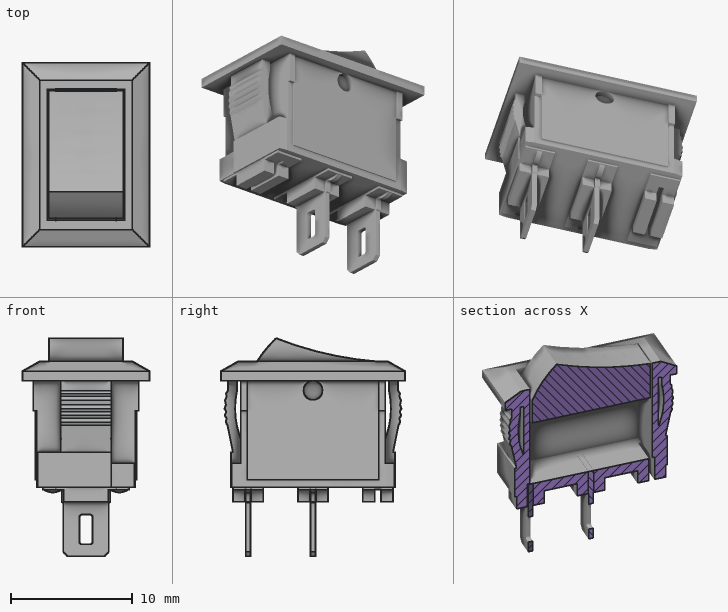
import cadquery as cq


BEZEL_X = 10.42
BEZEL_Y = 15.1
BEZEL_EDGE_Z = 0.8
BEZEL_TOP_Z = 1.6
BEZEL_SLOPE_RUN = 1.42

BODY_X = 8.1
BODY_Y = 11.86
BODY_BOTTOM_Z = -8.73
CAVITY_X = 6.34
CAVITY_Y = 10.77
FLOOR_THICKNESS = 1.0
FLOOR_Z = BODY_BOTTOM_Z + FLOOR_THICKNESS
SIDE_PANEL_X = 8.34
SIDE_PANEL_BOTTOM_Z = -8.12
CORNER_RIB_X = 8.68
CORNER_RIB_BOTTOM_Z = -2.46

BLOCK_ROOT_Y = 6.0
BLOCK_FACE_Y = 6.74
BLOCK_FACE_X = 7.9
BLOCK_TOP_Z = -5.84
BLOCK_STEP_TOP_Z = -6.75
BLOCK_STEP_SETBACK = 0.07

ARM_X = 4.12
ARM_ROOT_Y = 6.58
ARM_INNER_Y = 6.22
ARM_INNER_BULGE = 0.16
ARM_BULGE_TOP_Z = -0.8
ARM_BULGE_BOTTOM_Z = -3.75
ARM_MERGE_Z = -4.75
ARM_TEETH = [
    (6.99, -0.80),
    (7.14, -1.05),
    (7.09, -1.28),
    (7.23, -1.60),
    (7.15, -1.96),
    (7.26, -2.28),
    (7.13, -2.52),
    (7.24, -2.84),
    (7.09, -3.08),
    (7.17, -3.38),
    (7.02, -3.63),
]

STATION_PITCH = 5.325
STATION_YS = [-STATION_PITCH, 0, STATION_PITCH]
PAD_X = 7.1
PAD_Y = 2.5
PAD_BOTTOM_Z = BODY_BOTTOM_Z - 0.19
FOOT_X = 3.63
FOOT_BOTTOM_Z = -9.93
SLOT_X = 5.0
SLOT_Y = 0.48

TERMINAL_YS = STATION_YS[:2]
TERMINAL_THICKNESS = 0.42
NECK_X = 4.0
NECK_TAPER = 0.07
BLADE_X = 3.75
BLADE_TIP_Z = -14.4
BLADE_TIP_CHAMFER = 0.37
EYE_X = 1.06
EYE_TOP_Z = -10.98
EYE_BOTTOM_Z = -13.4
EYE_CORNER_RADIUS = 0.2
LUG_INNER_X = NECK_X / 2
LUG_OUTER_X = 3.46
LUG_DROP = 0.24

ROCKER_X = 6.1
ROCKER_BOTTOM_Z = -1.8
ROCKER_BACK_Y = 5.25
ROCKER_BACK_Z = 1.6
ROCKER_MID_Y = 0
ROCKER_MID_Z = 2.5
ROCKER_PEAK_Y = -3.02
ROCKER_PEAK_Z = 3.5
ROCKER_NOSE_MID_Y = -4.36
ROCKER_NOSE_MID_Z = 1.95
ROCKER_NOSE_Y = -5.19
ROCKER_NOSE_Z = 0.46
PIVOT_RADIUS = 0.78
PIVOT_Z = -0.78
PIVOT_RECESS = 0.5


def block(size_x, y_range, z_range, center_x=0):
    """Box centred on center_x that spans the given Y and Z ranges."""
    y_low, y_high = sorted(y_range)
    z_low, z_high = sorted(z_range)
    return (
        cq.Workplane("XY", origin=(center_x, (y_low + y_high) / 2, z_low))
        .rect(size_x, y_high - y_low)
        .extrude(z_high - z_low)
    )


def centered_block(size_x, size_y, z_range, center_y=0):
    """Box centred on X = 0 and on center_y."""
    return block(size_x, (center_y - size_y / 2, center_y + size_y / 2), z_range)


def make_bezel():
    rim = centered_block(BEZEL_X, BEZEL_Y, (0, BEZEL_EDGE_Z))
    slope = (
        cq.Workplane("XY", origin=(0, 0, BEZEL_EDGE_Z))
        .rect(BEZEL_X, BEZEL_Y)
        .workplane(offset=BEZEL_TOP_Z - BEZEL_EDGE_Z)
        .rect(BEZEL_X - 2 * BEZEL_SLOPE_RUN, BEZEL_Y - 2 * BEZEL_SLOPE_RUN)
        .loft(ruled=True)
    )
    return rim.union(slope)


def make_end_block():
    """Drafted block on the -Y end, lower and set back beyond the +X edge of the snap arm."""
    root_half_x = BODY_X / 2
    face_half_x = BLOCK_FACE_X / 2
    end_block = (
        cq.Workplane("XY", origin=(0, 0, BODY_BOTTOM_Z))
        .moveTo(-root_half_x, 0)
        .lineTo(-root_half_x, -BLOCK_ROOT_Y)
        .lineTo(-face_half_x, -BLOCK_FACE_Y)
        .lineTo(face_half_x, -BLOCK_FACE_Y)
        .lineTo(root_half_x, -BLOCK_ROOT_Y)
        .lineTo(root_half_x, 0)
        .close()
        .extrude(BLOCK_TOP_Z - BODY_BOTTOM_Z)
    )
    step_x = root_half_x - ARM_X / 2
    step_center_x = (root_half_x + ARM_X / 2) / 2
    step_face_y = BLOCK_FACE_Y - BLOCK_STEP_SETBACK
    above_step = block(step_x, (-BLOCK_FACE_Y, 0), (BLOCK_STEP_TOP_Z, BLOCK_TOP_Z), step_center_x)
    before_step = block(step_x, (-BLOCK_FACE_Y, -step_face_y), (BODY_BOTTOM_Z, BLOCK_TOP_Z), step_center_x)
    return end_block.cut(above_step).cut(before_step)


def make_snap_arm():
    """Toothed arm on the -Y end, joined to the bezel above and to the end block below."""
    bulge_mid_z = (ARM_BULGE_TOP_Z + ARM_BULGE_BOTTOM_Z) / 2
    top_outer_y = ARM_TEETH[0][0]
    return (
        cq.Workplane("YZ", origin=(-ARM_X / 2, 0, 0))
        .moveTo(-top_outer_y, 0)
        .polyline([(-y, z) for y, z in ARM_TEETH], includeCurrent=True)
        .lineTo(-ARM_ROOT_Y, BLOCK_TOP_Z)
        .lineTo(-BODY_Y / 2, BLOCK_TOP_Z)
        .lineTo(-BODY_Y / 2, ARM_MERGE_Z)
        .lineTo(-ARM_INNER_Y, ARM_BULGE_BOTTOM_Z)
        .threePointArc((-ARM_INNER_Y - ARM_INNER_BULGE, bulge_mid_z), (-ARM_INNER_Y, ARM_BULGE_TOP_Z))
        .lineTo(-ARM_INNER_Y, 0)
        .close()
        .extrude(ARM_X)
    )


def make_corner_ribs():
    """Ribs that widen the body at its four upper corners."""
    ribs = centered_block(CORNER_RIB_X, BODY_Y, (CORNER_RIB_BOTTOM_Z, 0))
    return ribs.cut(centered_block(CORNER_RIB_X, CAVITY_Y, (CORNER_RIB_BOTTOM_Z, 0)))


def make_station(center_y):
    """Pad with a foot below it, where a terminal leaves the housing."""
    pad = centered_block(PAD_X, PAD_Y, (PAD_BOTTOM_Z, BODY_BOTTOM_Z), center_y)
    foot = centered_block(FOOT_X, PAD_Y, (FOOT_BOTTOM_Z, PAD_BOTTOM_Z), center_y)
    return pad.union(foot)


def make_station_slot(center_y):
    """Slot through the floor and pad that also splits the foot in two."""
    return centered_block(SLOT_X, SLOT_Y, (FOOT_BOTTOM_Z, FLOOR_Z), center_y)


def pivot_cylinder(length_x):
    return cq.Workplane("YZ", origin=(-length_x / 2, 0, PIVOT_Z)).circle(PIVOT_RADIUS).extrude(length_x)


def make_housing():
    housing = make_bezel()
    housing = housing.union(centered_block(BODY_X, BODY_Y, (BODY_BOTTOM_Z, 0)))
    housing = housing.union(centered_block(SIDE_PANEL_X, CAVITY_Y, (SIDE_PANEL_BOTTOM_Z, 0)))
    housing = housing.union(make_corner_ribs())
    for end_feature in (make_end_block(), make_snap_arm()):
        housing = housing.union(end_feature).union(end_feature.mirror("XZ"))
    housing = housing.cut(centered_block(CAVITY_X, CAVITY_Y, (FLOOR_Z, BEZEL_TOP_Z)))
    for center_y in STATION_YS:
        housing = housing.union(make_station(center_y)).cut(make_station_slot(center_y))
    return housing.cut(pivot_cylinder(SIDE_PANEL_X))


def make_rocker():
    """Curved rocker key with a pivot stub on each side."""
    key = (
        cq.Workplane("YZ", origin=(-ROCKER_X / 2, 0, 0))
        .moveTo(ROCKER_BACK_Y, ROCKER_BOTTOM_Z)
        .lineTo(ROCKER_BACK_Y, ROCKER_BACK_Z)
        .threePointArc((ROCKER_MID_Y, ROCKER_MID_Z), (ROCKER_PEAK_Y, ROCKER_PEAK_Z))
        .threePointArc((ROCKER_NOSE_MID_Y, ROCKER_NOSE_MID_Z), (ROCKER_NOSE_Y, ROCKER_NOSE_Z))
        .lineTo(ROCKER_NOSE_Y, ROCKER_BOTTOM_Z)
        .close()
        .extrude(ROCKER_X)
    )
    return key.union(pivot_cylinder(SIDE_PANEL_X - 2 * PIVOT_RECESS))


def make_terminal(center_y):
    """Flat blade with a solder eye, a head in the floor slot and a rounded lug at each side below the pad."""
    sketch_plane = cq.Workplane("XZ", origin=(0, center_y + TERMINAL_THICKNESS / 2, 0))
    head = centered_block(SLOT_X, TERMINAL_THICKNESS, (PAD_BOTTOM_Z, FLOOR_Z), center_y)
    blade = (
        sketch_plane
        .moveTo(-NECK_X / 2, PAD_BOTTOM_Z)
        .lineTo(-NECK_X / 2, FOOT_BOTTOM_Z)
        .lineTo(-BLADE_X / 2, FOOT_BOTTOM_Z - NECK_TAPER)
        .lineTo(-BLADE_X / 2, BLADE_TIP_Z + BLADE_TIP_CHAMFER)
        .lineTo(-BLADE_X / 2 + BLADE_TIP_CHAMFER, BLADE_TIP_Z)
        .lineTo(BLADE_X / 2 - BLADE_TIP_CHAMFER, BLADE_TIP_Z)
        .lineTo(BLADE_X / 2, BLADE_TIP_Z + BLADE_TIP_CHAMFER)
        .lineTo(BLADE_X / 2, FOOT_BOTTOM_Z - NECK_TAPER)
        .lineTo(NECK_X / 2, FOOT_BOTTOM_Z)
        .lineTo(NECK_X / 2, PAD_BOTTOM_Z)
        .close()
        .extrude(TERMINAL_THICKNESS)
    )
    eye = (
        sketch_plane
        .center(0, (EYE_TOP_Z + EYE_BOTTOM_Z) / 2)
        .rect(EYE_X, EYE_TOP_Z - EYE_BOTTOM_Z)
        .extrude(TERMINAL_THICKNESS)
        .edges("|Y")
        .fillet(EYE_CORNER_RADIUS)
    )
    lug_mid_x = (LUG_INNER_X + LUG_OUTER_X) / 2
    lug = (
        sketch_plane
        .moveTo(LUG_INNER_X, PAD_BOTTOM_Z)
        .lineTo(LUG_OUTER_X, PAD_BOTTOM_Z)
        .threePointArc((lug_mid_x, PAD_BOTTOM_Z - LUG_DROP), (LUG_INNER_X, PAD_BOTTOM_Z))
        .close()
        .extrude(TERMINAL_THICKNESS)
    )
    return head.union(blade).cut(eye).union(lug).union(lug.mirror("YZ"))


housing = make_housing()
rocker = make_rocker()
terminals = [make_terminal(center_y) for center_y in TERMINAL_YS]

result = cq.Compound.makeCompound([
    housing.val(),
    rocker.val(),
    *[terminal.val() for terminal in terminals],
])